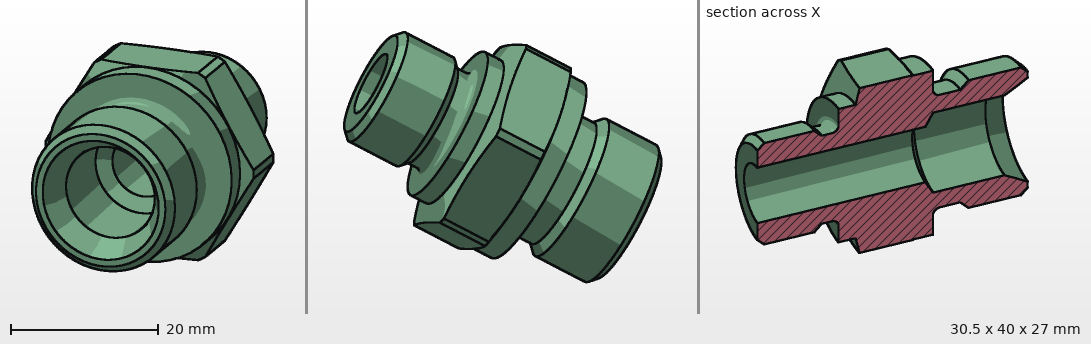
import cadquery as cq
import math


LARGE_THREAD_GROOVE = 10.0
LARGE_COLLAR_START = 14.0
HEX_START = 17.0
HEX_END = 25.5
SMALL_COLLAR_END = 28.0
SMALL_THREAD_GROOVE = 30.5
TOTAL_LENGTH = 40.0

LARGE_THREAD_D = 20.96
LARGE_GROOVE_D = 18.5
LARGE_COLLAR_D = 26.9
SMALL_COLLAR_D = 21.9
SMALL_GROOVE_D = 14.5
SMALL_THREAD_D = 16.66

HEX_ACROSS_FLATS = 27.0
HEX_CORNER_D = 30.5
LARGE_SIDE_BEVEL_ANGLE = 15.0
SMALL_SIDE_BEVEL_ANGLE = 13.0

END_CHAMFER = 1.0
GROOVE_FILLET = 1.0

CONE_MOUTH_D = 17.0
CONE_HALF_ANGLE = 30.0
TUBE_BORE_D = 13.0
TUBE_BORE_DEPTH = 14.0
THROUGH_BORE_D = 9.0
BORE_STEP_HALF_ANGLE = 60.0


def cone_length(wide_d, narrow_d, half_angle):
    """Axial length of a cone between two diameters."""
    return (wide_d - narrow_d) / 2 / math.tan(math.radians(half_angle))


def bevel_depth(inner_d, bevel_angle):
    """Axial drop of a hexagon bevel from inner_d out to the rounded corners."""
    return (HEX_CORNER_D - inner_d) / 2 * math.tan(math.radians(bevel_angle))


def revolve_about_y(profile):
    return profile.close().revolve(360, (0, 0, 0), (0, 1, 0))


def threaded_end(end_y, groove_y, collar_y, thread_d, groove_d):
    """Threaded spigot with chamfered end and a relief groove filleted into the collar."""
    inward = math.copysign(1, collar_y - end_y)
    thread_r = thread_d / 2
    groove_r = groove_d / 2
    fillet_start_y = collar_y - inward * GROOVE_FILLET
    arc_offset = GROOVE_FILLET * math.sqrt(0.5)
    arc_middle = (groove_r + GROOVE_FILLET - arc_offset, fillet_start_y + inward * arc_offset)
    profile = (
        cq.Workplane("XY")
        .moveTo(0, end_y)
        .lineTo(thread_r - END_CHAMFER, end_y)
        .lineTo(thread_r, end_y + inward * END_CHAMFER)
        .lineTo(thread_r, groove_y - inward * (thread_r - groove_r))
        .lineTo(groove_r, groove_y)
        .lineTo(groove_r, fillet_start_y)
        .threePointArc(arc_middle, (groove_r + GROOVE_FILLET, collar_y))
        .lineTo(0, collar_y)
    )
    return revolve_about_y(profile)


def cylinder(start_y, end_y, diameter):
    return cq.Workplane("XZ", origin=(0, start_y, 0)).circle(diameter / 2).extrude(start_y - end_y)


def hexagon():
    """Hexagon with corners on +X and -X, rounded and bevelled by a turned envelope."""
    point_to_point = HEX_ACROSS_FLATS / math.cos(math.radians(30))
    prism = (
        cq.Workplane("XZ", origin=(0, HEX_START, 0))
        .polygon(6, point_to_point)
        .extrude(HEX_START - HEX_END)
    )
    envelope = (
        cq.Workplane("XY")
        .moveTo(0, HEX_START)
        .lineTo(LARGE_COLLAR_D / 2, HEX_START)
        .lineTo(HEX_CORNER_D / 2, HEX_START + bevel_depth(LARGE_COLLAR_D, LARGE_SIDE_BEVEL_ANGLE))
        .lineTo(HEX_CORNER_D / 2, HEX_END - bevel_depth(SMALL_COLLAR_D, SMALL_SIDE_BEVEL_ANGLE))
        .lineTo(SMALL_COLLAR_D / 2, HEX_END)
        .lineTo(0, HEX_END)
    )
    return prism.intersect(revolve_about_y(envelope))


def bore():
    """Tapered mouth at the large end, tube bore, conical step and through bore."""
    mouth_depth = cone_length(CONE_MOUTH_D, TUBE_BORE_D, CONE_HALF_ANGLE)
    step_end = TUBE_BORE_DEPTH + cone_length(TUBE_BORE_D, THROUGH_BORE_D, BORE_STEP_HALF_ANGLE)
    profile = (
        cq.Workplane("XY")
        .lineTo(CONE_MOUTH_D / 2, 0)
        .lineTo(TUBE_BORE_D / 2, mouth_depth)
        .lineTo(TUBE_BORE_D / 2, TUBE_BORE_DEPTH)
        .lineTo(THROUGH_BORE_D / 2, step_end)
        .lineTo(THROUGH_BORE_D / 2, TOTAL_LENGTH)
        .lineTo(0, TOTAL_LENGTH)
    )
    return revolve_about_y(profile)


large_end = threaded_end(0, LARGE_THREAD_GROOVE, LARGE_COLLAR_START, LARGE_THREAD_D, LARGE_GROOVE_D)
small_end = threaded_end(
    TOTAL_LENGTH, SMALL_THREAD_GROOVE, SMALL_COLLAR_END, SMALL_THREAD_D, SMALL_GROOVE_D
)
large_collar = cylinder(LARGE_COLLAR_START, HEX_START, LARGE_COLLAR_D)
small_collar = cylinder(HEX_END, SMALL_COLLAR_END, SMALL_COLLAR_D)

result = (
    hexagon()
    .union(large_collar)
    .union(small_collar)
    .union(large_end)
    .union(small_end)
    .cut(bore())
)